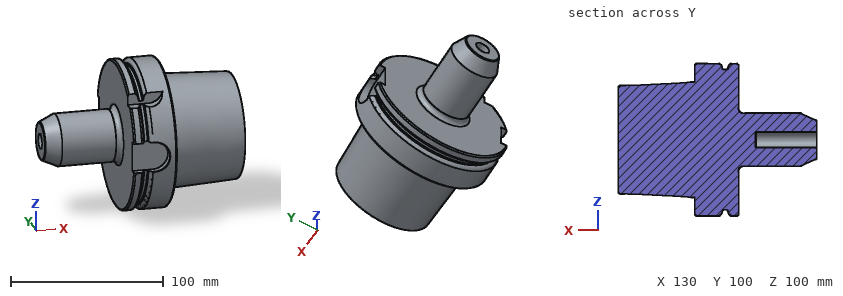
import cadquery as cq
import math

total_length = 130.0
flange_start_x = 51.0
flange_end_x = 80.0

tip_radius = 12.9
tip_face_radius = 12.2
tip_chamfer_length = 0.5
tip_taper_length = 10.6
shank_radius = 35.0 / 2
neck_radius = 34.8 / 2
neck_start_x = 46.9
neck_step_length = 0.2
root_fillet = 3.3

undercut_radius = 21.7
undercut_slope = math.radians(8)

flange_radius = 100.0 / 2
flange_chamfer = 1.0

groove_center_x = flange_end_x - 20.0
groove_mouth = (3.82, flange_radius)
groove_lip_end = (3.05, 49.4)
groove_wall_middle = (2.0, 47.9)
groove_wall_end = (1.75, 46.6)
groove_floor_end = (1.0, 92.0 / 2)
groove_lip_rounding = 1.3

taper_large_radius = 76.0 / 2
taper_slope = 1.0 / 20
taper_end_rounding = 1.5

bore_radius = 10.0 / 2
bore_depth = 40.0
bore_floor_bevel = 0.4

pocket_end_x = flange_start_x + 24.0
pocket_corner_radius = 10.0
key_floor_distance = 44.0
narrow_key_width = 20.0
wide_key_width = 22.0
key_rim_chamfer = 0.3
notch_inset = 31.5


def revolve_about_x(profile):
    return profile.close().revolve(360, (0, 0, 0), (1, 0, 0))


def make_nose():
    return revolve_about_x(
        cq.Workplane("XY")
        .moveTo(0, 0)
        .lineTo(0, tip_face_radius)
        .lineTo(tip_chamfer_length, tip_radius)
        .lineTo(tip_taper_length, shank_radius)
        .lineTo(neck_start_x, shank_radius)
        .lineTo(neck_start_x + neck_step_length, neck_radius)
        .lineTo(flange_end_x, neck_radius)
        .lineTo(flange_end_x, 0)
    )


def make_flange():
    return (
        cq.Workplane("YZ", origin=(flange_start_x, 0, 0))
        .circle(flange_radius)
        .extrude(flange_end_x - flange_start_x)
        .edges()
        .chamfer(flange_chamfer)
    )


def fillet_end_point():
    """Axial start of the root fillet, and the point where it meets the undercut cone."""
    end_radius = neck_radius + root_fillet * (1 - math.sin(undercut_slope))
    end_x = flange_start_x + (undercut_radius - end_radius) * math.tan(undercut_slope)
    start_x = end_x - root_fillet * math.cos(undercut_slope)
    return start_x, (end_x, end_radius)


def make_undercut():
    """Space around the nose root that the undercut takes out of the flange face."""
    start_x, fillet_end = fillet_end_point()
    return revolve_about_x(
        cq.Workplane("XY")
        .moveTo(start_x, neck_radius)
        .radiusArc(fillet_end, -root_fillet)
        .lineTo(flange_start_x, undercut_radius)
        .lineTo(start_x, undercut_radius)
    )


def make_root():
    """Material block from which the undercut leaves the root fillet."""
    start_x, _ = fillet_end_point()
    return (
        cq.Workplane("YZ", origin=(start_x, 0, 0))
        .circle(undercut_radius)
        .extrude(flange_end_x - start_x)
    )


def make_groove():
    def left(station):
        return groove_center_x - station[0], station[1]

    def right(station):
        return groove_center_x + station[0], station[1]

    return revolve_about_x(
        cq.Workplane("XY")
        .moveTo(*left(groove_mouth))
        .radiusArc(left(groove_lip_end), groove_lip_rounding)
        .threePointArc(left(groove_wall_middle), left(groove_wall_end))
        .lineTo(*left(groove_floor_end))
        .lineTo(*right(groove_floor_end))
        .lineTo(*right(groove_wall_end))
        .threePointArc(right(groove_wall_middle), right(groove_lip_end))
        .radiusArc(right(groove_mouth), groove_lip_rounding)
    )


def make_taper():
    taper_length = total_length - flange_end_x
    taper_small_radius = taper_large_radius - taper_slope * taper_length
    taper = revolve_about_x(
        cq.Workplane("XY")
        .moveTo(flange_end_x, 0)
        .lineTo(flange_end_x, taper_large_radius)
        .lineTo(total_length, taper_small_radius)
        .lineTo(total_length, 0)
    )
    return taper.faces(">X").edges().fillet(taper_end_rounding)


def make_bore():
    return (
        cq.Workplane("YZ")
        .circle(bore_radius)
        .extrude(bore_depth)
        .faces(">X")
        .chamfer(bore_floor_bevel)
    )


def make_pocket(bottom_z, top_z, start_y, end_y):
    """Pocket open at the nose-side flange face, with rounded corners at its inner end."""
    open_end_x = flange_start_x - pocket_corner_radius
    round_start_x = pocket_end_x - pocket_corner_radius
    lower_corner_z = bottom_z + pocket_corner_radius
    upper_corner_z = top_z - pocket_corner_radius
    profile = (
        cq.Workplane("XZ", origin=(0, end_y, 0))
        .moveTo(open_end_x, bottom_z)
        .lineTo(round_start_x, bottom_z)
        .radiusArc((pocket_end_x, lower_corner_z), -pocket_corner_radius)
    )
    if upper_corner_z > lower_corner_z:
        profile = profile.lineTo(pocket_end_x, upper_corner_z)
    return (
        profile.radiusArc((round_start_x, top_z), -pocket_corner_radius)
        .lineTo(open_end_x, top_z)
        .close()
        .extrude(end_y - start_y)
    )


def make_key_slot(width, side):
    """Driving slot across the flange rim; side is -1 for -Y and +1 for +Y."""
    near_y, far_y = sorted((side * key_floor_distance, side * 2 * flange_radius))
    return make_pocket(-width / 2, width / 2, near_y, far_y)


def make_corner_notch():
    """Orientation notch in the rim, between the -Y and +Z sides."""
    return make_pocket(notch_inset, 2 * flange_radius, -2 * flange_radius, -notch_inset)


def chamfer_narrow_slot_rim(flange):
    """Break the edges where the -Y driving slot meets the outside of the flange."""

    def on_slot_rim(edge):
        middle = edge.positionAt(0.5)
        at_outside = abs(math.hypot(middle.y, middle.z) - flange_radius) < key_rim_chamfer / 10
        inside_flange_x = flange_start_x + flange_chamfer < middle.x < flange_end_x - flange_chamfer
        return at_outside and inside_flange_x and middle.y < -key_floor_distance

    rim_edges = [edge for edge in flange.edges().vals() if on_slot_rim(edge)]
    return flange.newObject(rim_edges).chamfer(key_rim_chamfer)


slotted_flange = chamfer_narrow_slot_rim(make_flange().cut(make_key_slot(narrow_key_width, -1)))
flange = (
    slotted_flange
    .cut(make_key_slot(wide_key_width, 1))
    .cut(make_groove())
    .cut(make_corner_notch())
)
result = (
    make_nose()
    .union(flange)
    .union(make_root())
    .cut(make_undercut())
    .union(make_taper())
    .cut(make_bore())
)